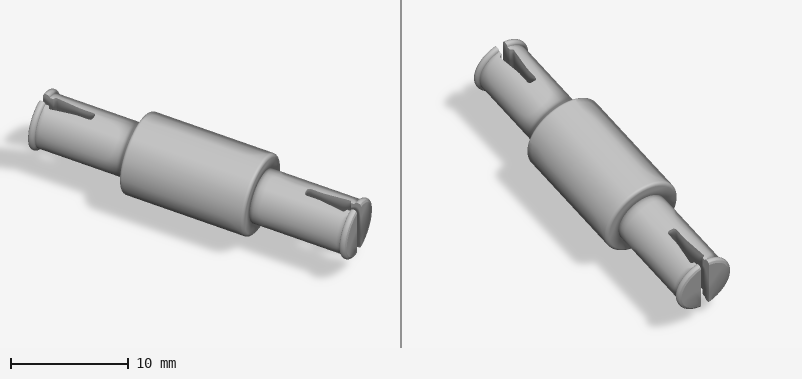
import cadquery as cq

length = 29.98
collar_diameter = 7.5
collar_length = 11.7
collar_edge_radius = 0.3
shaft_diameter = 4.95

lip_diameter = 5.52
lip_width = 0.65
lead_in_depth = 0.1
lead_in_diameter = 5.35
crown_depth = 0.33

slot_width = 0.85
throat_width = 1.45
mouth_depth = 0.95
throat_depth = 1.1
taper_end_depth = 3.5
slot_depth = 5.0
slot_corner_radius = 0.27
throat_corner_radius = 0.15
taper_blend_radius = 3.3

half_length = length / 2
selection_margin = 0.03


def cylinder_along_x(diameter, width, start_x):
    return cq.Workplane("YZ", origin=(start_x, 0, 0)).circle(diameter / 2).extrude(width)


def rounded_lip():
    """Lip at the -X end: a sloped lead-in, then a rounded crown down to the shaft."""
    profile = (
        cq.Workplane("XY", origin=(-half_length, 0, 0))
        .lineTo(0, shaft_diameter / 2)
        .lineTo(lead_in_depth, lead_in_diameter / 2)
        .threePointArc((crown_depth, lip_diameter / 2), (lip_width, shaft_diameter / 2))
        .lineTo(lip_width, 0)
        .close()
    )
    return profile.revolve(360, (0, 0, 0), (1, 0, 0))


def spring_slot():
    """Cutter for the slot at the -X end, running through the shaft along Z."""
    half_slot = slot_width / 2
    half_throat = throat_width / 2
    upper_side = [
        (0, half_slot),
        (mouth_depth, half_slot),
        (throat_depth, half_throat),
        (taper_end_depth, half_slot),
        (slot_depth, half_slot),
    ]
    lower_side = [(depth, -y) for depth, y in reversed(upper_side)]
    cutter = (
        cq.Workplane("XY", origin=(-half_length, 0, -lip_diameter))
        .polyline(upper_side + lower_side)
        .close()
        .extrude(2 * lip_diameter)
    )
    cutter = cutter.edges("|Z and >X").fillet(slot_corner_radius)
    cutter = cutter.edges("|Z and (>Y or <Y)").fillet(throat_corner_radius)
    taper_end = cq.selectors.BoxSelector(
        (taper_end_depth - half_length - selection_margin, -half_throat, -lip_diameter),
        (taper_end_depth - half_length + selection_margin, half_throat, lip_diameter),
    )
    return cutter.edges("|Z").edges(taper_end).fillet(taper_blend_radius)


shaft = cylinder_along_x(shaft_diameter, length, -half_length)
collar = cylinder_along_x(collar_diameter, collar_length, -collar_length / 2)
collar = collar.edges().fillet(collar_edge_radius)

lip = rounded_lip()
slot = spring_slot()
result = shaft.union(collar)
for end_lip in (lip, lip.mirror("YZ")):
    result = result.union(end_lip)
for end_slot in (slot, slot.mirror("YZ")):
    result = result.cut(end_slot)